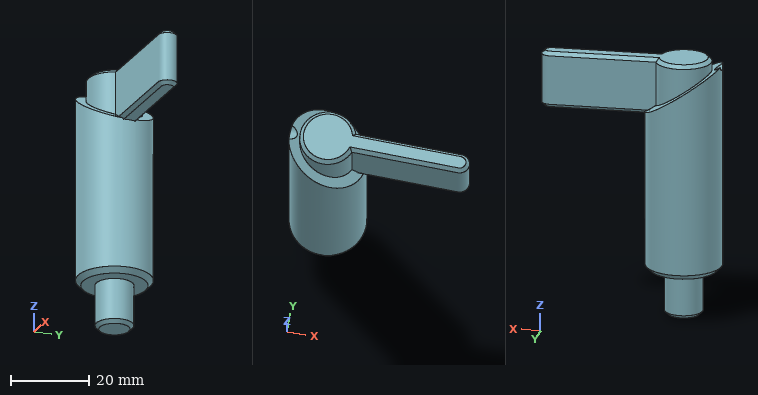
import cadquery as cq
import math

total_height = 69.0
lever_height = 15.0
lever_bottom = total_height - lever_height
sleeve_bottom = 12.0

hub_diameter = 14.5
blade_thickness = 5.1
lever_reach = 37.0
lever_chamfer = 1.0
pin_diameter = 10.0
pin_chamfer = 1.0

sleeve_diameter = 2 * pin_diameter
sleeve_radius = sleeve_diameter / 2
sleeve_chamfer = 1.4
slope_angle = 33.5
slope_high_z = 67.5
slope_low_z = slope_high_z - sleeve_diameter * math.tan(math.radians(slope_angle))

notch_radius = 2.15
notch_bottom_z = 66.2


def make_lever():
    """Hub, round-ended blade and pin as one solid."""
    tip_center_x = lever_reach - blade_thickness / 2
    base = cq.Workplane("XY").workplane(offset=lever_bottom)
    hub = base.circle(hub_diameter / 2).extrude(lever_height)
    blade = base.center(tip_center_x / 2, 0).rect(tip_center_x, blade_thickness).extrude(lever_height)
    tip = base.center(tip_center_x, 0).circle(blade_thickness / 2).extrude(lever_height)
    handle = hub.union(blade).union(tip).faces("<Z or >Z").chamfer(lever_chamfer)
    pin = cq.Workplane("XY").circle(pin_diameter / 2).extrude(lever_bottom)
    pin = pin.faces("<Z").chamfer(pin_chamfer)
    return handle.union(pin)


def make_sleeve(lever):
    """Housing with a sloped top, a rim notch and a seat that matches the lever."""
    profile = (
        cq.Workplane("XZ")
        .moveTo(-sleeve_radius, sleeve_bottom)
        .lineTo(sleeve_radius, sleeve_bottom)
        .lineTo(sleeve_radius, slope_low_z)
        .lineTo(-sleeve_radius, slope_high_z)
        .close()
        .extrude(sleeve_radius, both=True)
    )
    cylinder = (
        cq.Workplane("XY")
        .workplane(offset=sleeve_bottom)
        .circle(sleeve_radius)
        .extrude(total_height - sleeve_bottom)
        .faces("<Z")
        .chamfer(sleeve_chamfer)
    )
    notch = (
        cq.Workplane("YZ")
        .workplane(offset=-sleeve_radius)
        .center(0, notch_bottom_z + notch_radius)
        .circle(notch_radius)
        .extrude(sleeve_radius)
    )
    return cylinder.intersect(profile).cut(notch).cut(lever)


lever = make_lever()
sleeve = make_sleeve(lever)
result = cq.Compound.makeCompound([lever.val(), sleeve.val()])